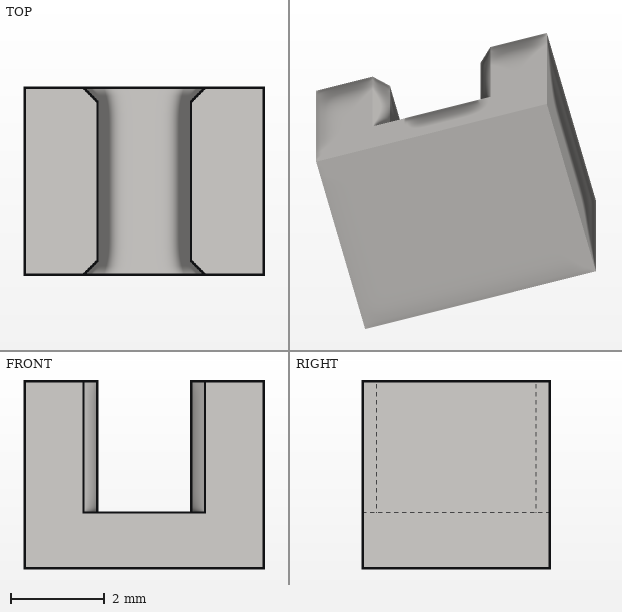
import cadquery as cq

length = 5.1
side = 4.0
slot_width = 2.0
floor_thickness = 1.2
mouth_chamfer = 0.3


def make_block():
    """Solid block standing on the XY plane."""
    return cq.Workplane("XY").box(length, side, side, centered=(True, True, False))


def make_slot():
    """Slot along Y, open at the top, flared at both ends above the floor."""
    half_width = slot_width / 2
    half_mouth = half_width + mouth_chamfer
    half_depth = side / 2
    flare_start = half_depth - mouth_chamfer
    return (
        cq.Workplane("XY")
        .workplane(offset=floor_thickness)
        .moveTo(-half_mouth, -half_depth)
        .lineTo(half_mouth, -half_depth)
        .lineTo(half_width, -flare_start)
        .lineTo(half_width, flare_start)
        .lineTo(half_mouth, half_depth)
        .lineTo(-half_mouth, half_depth)
        .lineTo(-half_width, flare_start)
        .lineTo(-half_width, -flare_start)
        .close()
        .extrude(side - floor_thickness)
    )


result = make_block().cut(make_slot())